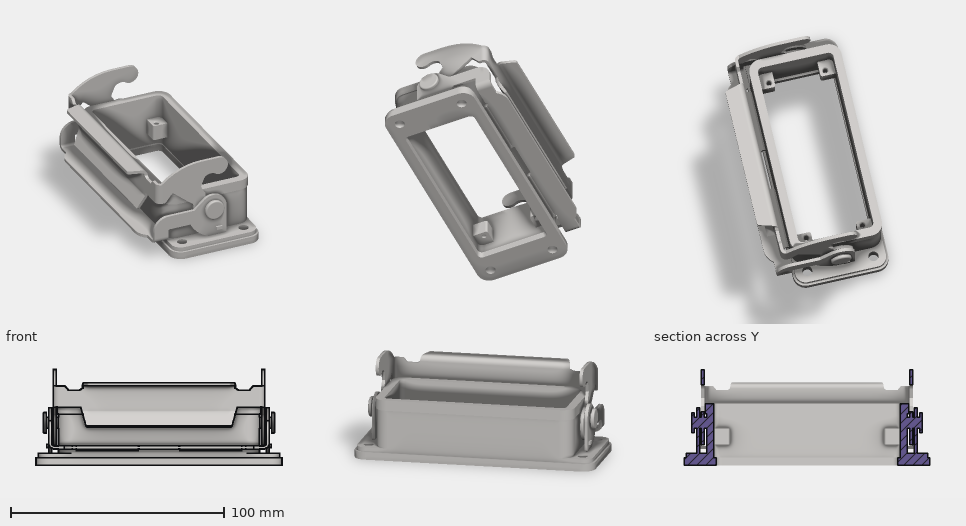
import cadquery as cq
import math

FLANGE_LENGTH = 115.5
FLANGE_WIDTH = 45.7
FLANGE_HEIGHT = 3.6
FLANGE_RADIUS = 6.0
STEP_INSET = 1.0
STEP_TOP = 5.7
BODY_LENGTH = 94.4
BODY_WIDTH = FLANGE_WIDTH - 2 * STEP_INSET
BODY_RADIUS = 5.9
COLLAR_BOTTOM = 24.0
COLLAR_TOP = 29.0
COLLAR_LENGTH = 95.5
COLLAR_WIDTH = 44.2

OPENING_LENGTH = 87.3
OPENING_WIDTH = 36.3
OPENING_RADIUS = 2.3
LEDGE_LENGTH = 85.0
LEDGE_WIDTH = 35.3
LEDGE_TOP = FLANGE_HEIGHT

BOSS_INNER_X = 36.3
BOSS_INNER_Y = 10.9
BOSS_RADIUS = 1.0
BOSS_EMBED = 0.9
BOSS_BOTTOM = 9.8
BOSS_TOP = 17.3
BOSS_HOLE_X = 38.7
BOSS_HOLE_Y = 13.5
BOSS_HOLE_DIAMETER = 2.3
BOSS_SINK_DIAMETER = 3.1
MOUNT_HOLE_X = 51.4
MOUNT_HOLE_Y = 15.9
MOUNT_HOLE_DIAMETER = 4.7

SHEET = 1.5
BEND_RADIUS = 2.8
INNER_BEND = BEND_RADIUS - SHEET

PIN_Z = 20.0
PIN_RADIUS = 2.7
PIN_HEAD_RADIUS = 4.9
PIN_HEAD_ROUND = 0.7
PIN_HEAD_INNER_X = 52.8
PIN_END_X = 54.3

BRACKET_HALF = 51.7
BRACKET_PLATE_BOTTOM = 7.6
BRACKET_PLATE_TOP = BRACKET_PLATE_BOTTOM + SHEET
BRACKET_BEND_TOP = BRACKET_PLATE_BOTTOM + BEND_RADIUS
BRACKET_EYE_RADIUS = 7.0
BRACKET_NECK_Y = -9.7
BRACKET_ARM_TOP = 20.9
BRACKET_ARM_BOTTOM = 14.0
BRACKET_HEEL_Y = -11.8
BRACKET_TOE_Y = -2.2
BRACKET_FOOT_MIDDLE = (-8.1, 9.1)
BRACKET_LEG_BACK = -23.2
BRACKET_LEG_FRONT = -30.5
BRACKET_LEG_RADIUS = BRACKET_LEG_BACK - BRACKET_LEG_FRONT
BRACKET_CORNER = 0.7
PLATE_FRONT = -33.8
PLATE_SHOULDER_X = 44.4
PLATE_STRAIGHT_X = 37.8
TAB_OUTER_X = 38.8
TAB_INNER_X = 9.8
TAB_BOTTOM = 6.9
TAB_CHAMFER = 0.8
NOTCH_DEPTH = 0.9
NOTCH_TAPER = 0.6
RELIEF_WIDTH = 1.8
RELIEF_RADIUS = 0.8
STOP_BACK, STOP_FRONT = 4.5, 1.4
STOP_BOTTOM, STOP_TOP = 8.3, 9.9
STOP_HEIGHT = 0.9

LEVER_HALF = 49.7
LEVER_FRONT = -28.0
LEVER_BACK = LEVER_FRONT + SHEET
LEVER_BOTTOM = 27.3
LEVER_SHOULDER = 37.3
LEVER_TOP = 45.0
NOSE_Y = 4.3
NOSE_RADIUS = 4.4
NOSE_END_Y = 2.8
CROWN_START_Y = -5.1
CROWN_RADIUS = 31.2
CROWN_RUNOUT = 0.5
HUB_Y, HUB_Z = -1.2, 17.3
HUB_RADIUS = 8.0
HUB_NECK_Y = -3.0
HUB_NECK_Z = 27.8
ARCH_FOOT_Y = -23.8
ARCH_FRONT = (-20.5, 31.3)
ARCH_PEAK = (-20.0, 31.5)
ARCH_BACK = (-19.4, 31.3)
ARM_END = (-10.5, 24.1)
ARM_BEND = (-9.5, 23.2)
ARM_BEND_END_Z = 22.0
HOOK_CORNER = (-5.4, 31.5)
HOOK_THROAT = (-3.6, 36.0)
HOOK_CREST = (-0.2, 37.7)
LIP_TIP_Y = -35.8
LIP_ROOT_X = 36.0
LIP_TIP_X = 33.4
LIP_BEND_Z = LEVER_SHOULDER - INNER_BEND
FLAP_ROOT_X = 36.7
FLAP_TIP_X = 34.1
FLAP_BEND_Z = 25.1
FLAP_LENGTH = 8.0
FLAP_ANGLE = math.radians(26)
PLATE_CORNER = 1.2
GAP_OUTER_X, GAP_SLOPE_X, GAP_INNER_X = 44.1, 42.4, 37.3
GAP_BOTTOM = 35.2


def block(x0, x1, y0, y1, z0, z1):
    """Box between two opposite corners."""
    return cq.Workplane("XY").box(x1 - x0, y1 - y0, z1 - z0, centered=False).translate((x0, y0, z0))


def rounded_block(length, width, radius, z0, z1):
    """Box centred on the Z axis with rounded upright edges."""
    return block(-length / 2, length / 2, -width / 2, width / 2, z0, z1).edges("|Z").fillet(radius)


def both_ends(shape):
    """The shape together with its mirror image across the YZ plane."""
    return shape.union(shape.mirror("YZ"))


def mirrored_points(x, y):
    return [(sx * x, sy * y) for sx in (-1, 1) for sy in (-1, 1)]


def make_boss(sign_x, sign_y):
    """Corner boss running from its inner edges into the housing wall."""
    wall_x = OPENING_LENGTH / 2 + BOSS_EMBED
    wall_y = OPENING_WIDTH / 2 + BOSS_EMBED
    boss = block(BOSS_INNER_X, wall_x, BOSS_INNER_Y, wall_y, BOSS_BOTTOM, BOSS_TOP)
    boss = boss.edges("|Z and <X and <Y").fillet(BOSS_RADIUS)
    if sign_x < 0:
        boss = boss.mirror("YZ")
    if sign_y < 0:
        boss = boss.mirror("XZ")
    return boss


def make_housing():
    housing = rounded_block(FLANGE_LENGTH, FLANGE_WIDTH, FLANGE_RADIUS, 0, FLANGE_HEIGHT)
    step = rounded_block(FLANGE_LENGTH - 2 * STEP_INSET, FLANGE_WIDTH - 2 * STEP_INSET,
                         FLANGE_RADIUS - STEP_INSET, FLANGE_HEIGHT, STEP_TOP)
    body = rounded_block(BODY_LENGTH, BODY_WIDTH, BODY_RADIUS, STEP_TOP, COLLAR_BOTTOM)
    collar = rounded_block(COLLAR_LENGTH, COLLAR_WIDTH, BODY_RADIUS, COLLAR_BOTTOM, COLLAR_TOP)
    housing = housing.union(step).union(body).union(collar)
    housing = housing.cut(rounded_block(LEDGE_LENGTH, LEDGE_WIDTH, OPENING_RADIUS, 0, LEDGE_TOP))
    housing = housing.cut(
        rounded_block(OPENING_LENGTH, OPENING_WIDTH, OPENING_RADIUS, LEDGE_TOP, COLLAR_TOP))
    for sign_x in (-1, 1):
        for sign_y in (-1, 1):
            housing = housing.union(make_boss(sign_x, sign_y))
    boss_holes = (cq.Workplane("XY").workplane(offset=BOSS_BOTTOM)
                  .pushPoints(mirrored_points(BOSS_HOLE_X, BOSS_HOLE_Y))
                  .circle(BOSS_HOLE_DIAMETER / 2).extrude(BOSS_TOP - BOSS_BOTTOM))
    sink_depth = (BOSS_SINK_DIAMETER - BOSS_HOLE_DIAMETER) / 2
    housing = housing.cut(boss_holes)
    for x, y in mirrored_points(BOSS_HOLE_X, BOSS_HOLE_Y):
        sink = cq.Solid.makeCone(BOSS_HOLE_DIAMETER / 2, BOSS_SINK_DIAMETER / 2, sink_depth,
                                 pnt=cq.Vector(x, y, BOSS_TOP - sink_depth))
        housing = housing.cut(cq.Workplane(sink))
    mount_holes = (cq.Workplane("XY").pushPoints(mirrored_points(MOUNT_HOLE_X, MOUNT_HOLE_Y))
                   .circle(MOUNT_HOLE_DIAMETER / 2).extrude(STEP_TOP))
    return housing.cut(mount_holes)


def make_pins():
    """Headed pins that carry the bracket and the lever on both end walls."""
    start_x = (OPENING_LENGTH + BODY_LENGTH) / 4
    shaft = (cq.Workplane("YZ", origin=(start_x, 0, PIN_Z))
             .circle(PIN_RADIUS).extrude(PIN_END_X - start_x))
    head = (cq.Workplane("YZ", origin=(PIN_HEAD_INNER_X, 0, PIN_Z))
            .circle(PIN_HEAD_RADIUS).extrude(PIN_END_X - PIN_HEAD_INNER_X)
            .faces(">X").edges().fillet(PIN_HEAD_ROUND))
    return both_ends(shaft.union(head))


def make_bracket_side():
    """Side plate: an eye around the pin, a foot on the flange and an arm to the front."""
    neck_rise = BRACKET_ARM_TOP - PIN_Z
    neck_distance = math.hypot(BRACKET_NECK_Y, neck_rise)
    tangent_angle = (math.atan2(neck_rise, BRACKET_NECK_Y)
                     - math.acos(BRACKET_EYE_RADIUS / neck_distance))
    tangent = (BRACKET_EYE_RADIUS * math.cos(tangent_angle),
               PIN_Z + BRACKET_EYE_RADIUS * math.sin(tangent_angle))
    knee_z = BRACKET_ARM_TOP - BRACKET_LEG_RADIUS
    side = (cq.Workplane("YZ", origin=(BRACKET_HALF - SHEET, 0, 0))
            .moveTo(BRACKET_EYE_RADIUS, STEP_TOP)
            .lineTo(BRACKET_EYE_RADIUS, PIN_Z)
            .threePointArc((BRACKET_EYE_RADIUS * math.cos(tangent_angle / 2),
                            PIN_Z + BRACKET_EYE_RADIUS * math.sin(tangent_angle / 2)), tangent)
            .lineTo(BRACKET_NECK_Y, BRACKET_ARM_TOP)
            .lineTo(BRACKET_LEG_BACK, BRACKET_ARM_TOP)
            .radiusArc((BRACKET_LEG_FRONT, knee_z), -BRACKET_LEG_RADIUS)
            .lineTo(BRACKET_LEG_FRONT, BRACKET_BEND_TOP)
            .lineTo(BRACKET_LEG_BACK, BRACKET_BEND_TOP)
            .lineTo(BRACKET_LEG_BACK, BRACKET_ARM_BOTTOM)
            .lineTo(BRACKET_HEEL_Y, BRACKET_ARM_BOTTOM)
            .threePointArc(BRACKET_FOOT_MIDDLE, (BRACKET_TOE_Y, STEP_TOP))
            .close().extrude(SHEET))
    side = side.edges("|X").edges(cq.selectors.NearestToPointSelector(
        (BRACKET_HALF, BRACKET_LEG_BACK, BRACKET_ARM_BOTTOM))).fillet(BRACKET_CORNER)
    side = side.edges("|X and >Y and <Z").fillet(BRACKET_CORNER)
    stop = block(BRACKET_HALF, BRACKET_HALF + STOP_HEIGHT, STOP_FRONT, STOP_BACK, STOP_BOTTOM, STOP_TOP)
    return side.union(stop)


def make_bracket_trough():
    """Bottom plate with its two upturned bends, running the depth of the legs."""
    wall_top = BRACKET_BEND_TOP + INNER_BEND
    trough = block(-BRACKET_HALF, BRACKET_HALF, BRACKET_LEG_FRONT, BRACKET_LEG_BACK,
                   BRACKET_PLATE_BOTTOM, wall_top)
    trough = trough.edges("|Y and <Z").fillet(BEND_RADIUS)
    inner_half = BRACKET_HALF - SHEET
    hollow = block(-inner_half, inner_half, BRACKET_LEG_FRONT, BRACKET_LEG_BACK,
                   BRACKET_PLATE_TOP, wall_top)
    return trough.cut(hollow.edges("|Y and <Z").fillet(INNER_BEND))


def make_bracket():
    bracket = both_ends(make_bracket_side()).union(make_bracket_trough())
    run = PLATE_SHOULDER_X - PLATE_STRAIGHT_X
    drop = BRACKET_LEG_FRONT - PLATE_FRONT
    sweep_radius = (run ** 2 + drop ** 2) / (2 * drop)
    apron = (cq.Workplane("XY").workplane(offset=BRACKET_PLATE_BOTTOM)
             .moveTo(-PLATE_SHOULDER_X, BRACKET_LEG_FRONT)
             .radiusArc((-PLATE_STRAIGHT_X, PLATE_FRONT), -sweep_radius)
             .lineTo(PLATE_STRAIGHT_X, PLATE_FRONT)
             .radiusArc((PLATE_SHOULDER_X, BRACKET_LEG_FRONT), -sweep_radius)
             .close().extrude(SHEET))
    tab = block(TAB_INNER_X, TAB_OUTER_X, BRACKET_LEG_BACK, -BODY_WIDTH / 2, TAB_BOTTOM, BRACKET_PLATE_TOP)
    tab = tab.edges("|X and >Y and >Z").chamfer(TAB_CHAMFER)
    bracket = bracket.union(apron).union(both_ends(tab))
    notch_front = BRACKET_LEG_BACK - NOTCH_DEPTH
    notch = (cq.Workplane("XY").workplane(offset=BRACKET_PLATE_BOTTOM)
             .polyline([(-TAB_INNER_X, BRACKET_LEG_BACK), (NOTCH_TAPER - TAB_INNER_X, notch_front),
                        (TAB_INNER_X - NOTCH_TAPER, notch_front), (TAB_INNER_X, BRACKET_LEG_BACK)])
             .close().extrude(SHEET))
    relief = block(TAB_OUTER_X, TAB_OUTER_X + RELIEF_WIDTH, notch_front, BRACKET_LEG_BACK,
                   BRACKET_PLATE_BOTTOM, BRACKET_PLATE_TOP)
    relief = relief.edges("|Z and <Y").fillet(RELIEF_RADIUS)
    return bracket.cut(notch).cut(both_ends(relief))


def make_lever_profile():
    """Side outline of the lever, as a bar across the whole part."""
    nose_z = LEVER_TOP - NOSE_RADIUS
    nose_end_z = nose_z - math.sqrt(NOSE_RADIUS ** 2 - (NOSE_Y - NOSE_END_Y) ** 2)
    crown_end_y = LEVER_FRONT + BEND_RADIUS
    crown_end_z = (LEVER_TOP - CROWN_RADIUS
                   + math.sqrt(CROWN_RADIUS ** 2 - (CROWN_START_Y - crown_end_y) ** 2))
    hub_top_z = HUB_Z + math.sqrt(HUB_RADIUS ** 2 - (HUB_NECK_Y - HUB_Y) ** 2)
    hub_front_y = HUB_Y - HUB_RADIUS
    return (cq.Workplane("YZ", origin=(-LEVER_HALF, 0, 0))
            .moveTo(NOSE_Y, LEVER_TOP)
            .lineTo(CROWN_START_Y, LEVER_TOP)
            .radiusArc((crown_end_y, crown_end_z), -CROWN_RADIUS)
            .lineTo(crown_end_y - CROWN_RUNOUT, LEVER_SHOULDER)
            .lineTo(LEVER_FRONT, LEVER_SHOULDER)
            .lineTo(LEVER_FRONT, LEVER_BOTTOM)
            .lineTo(ARCH_FOOT_Y, LEVER_BOTTOM)
            .lineTo(*ARCH_FRONT)
            .threePointArc(ARCH_PEAK, ARCH_BACK)
            .lineTo(*ARM_END)
            .threePointArc(ARM_BEND, (hub_front_y, ARM_BEND_END_Z))
            .lineTo(hub_front_y, HUB_Z)
            .threePointArc((HUB_Y, HUB_Z - HUB_RADIUS), (HUB_Y + HUB_RADIUS, HUB_Z))
            .radiusArc((HUB_NECK_Y, hub_top_z), -HUB_RADIUS)
            .lineTo(HUB_NECK_Y, HUB_NECK_Z)
            .lineTo(*HOOK_CORNER)
            .lineTo(*HOOK_THROAT)
            .threePointArc(HOOK_CREST, (NOSE_END_Y, nose_end_z))
            .threePointArc((NOSE_Y + NOSE_RADIUS, nose_z), (NOSE_Y, LEVER_TOP))
            .close().extrude(2 * LEVER_HALF))


def make_lever_frame():
    """U-shaped sheet: two side plates joined by the bent front plate."""
    back_end = NOSE_Y + NOSE_RADIUS
    inner_half = LEVER_HALF - SHEET
    strip = block(-LEVER_HALF, LEVER_HALF, LEVER_FRONT, back_end, 0, LEVER_TOP)
    strip = strip.edges("|Z and <Y").fillet(BEND_RADIUS)
    hollow = block(-inner_half, inner_half, LEVER_BACK, back_end, 0, LEVER_TOP)
    strip = strip.cut(hollow.edges("|Z and <Y").fillet(INNER_BEND))
    gap = (cq.Workplane("XZ", origin=(0, LEVER_BACK, 0))
           .polyline([(-GAP_OUTER_X, LEVER_SHOULDER), (-GAP_SLOPE_X, GAP_BOTTOM),
                      (-GAP_INNER_X, GAP_BOTTOM), (-LIP_ROOT_X, LIP_BEND_Z),
                      (LIP_ROOT_X, LIP_BEND_Z), (GAP_INNER_X, GAP_BOTTOM),
                      (GAP_SLOPE_X, GAP_BOTTOM), (GAP_OUTER_X, LEVER_SHOULDER)])
           .close().extrude(SHEET))
    return strip.intersect(make_lever_profile()).cut(gap)


def make_lip():
    """Finger lip bent forward from the top of the front plate."""
    bend_end_y = LEVER_FRONT - INNER_BEND
    section = (cq.Workplane("YZ", origin=(-LIP_ROOT_X, 0, 0))
               .moveTo(LEVER_BACK, LIP_BEND_Z)
               .radiusArc((bend_end_y, LIP_BEND_Z + BEND_RADIUS), -BEND_RADIUS)
               .lineTo(LIP_TIP_Y, LIP_BEND_Z + BEND_RADIUS)
               .lineTo(LIP_TIP_Y, LEVER_SHOULDER)
               .lineTo(bend_end_y, LEVER_SHOULDER)
               .radiusArc((LEVER_FRONT, LIP_BEND_Z), INNER_BEND)
               .close().extrude(2 * LIP_ROOT_X))
    outline = (cq.Workplane("XY").workplane(offset=LIP_BEND_Z)
               .polyline([(-LIP_ROOT_X, LEVER_BACK), (-LIP_TIP_X, LIP_TIP_Y),
                          (LIP_TIP_X, LIP_TIP_Y), (LIP_ROOT_X, LEVER_BACK)])
               .close().extrude(BEND_RADIUS).edges("|Z and <Y").fillet(PLATE_CORNER))
    return section.intersect(outline)


def round_bend(shape, y, z, radius):
    """Round the one edge along X that passes through the given Y and Z."""
    return shape.edges(cq.selectors.NearestToPointSelector((0, y, z))).fillet(radius)


def make_flap():
    """Tapered flap hanging from the front plate and leaning outward."""
    reach_y = -FLAP_LENGTH * math.sin(FLAP_ANGLE)
    reach_z = -FLAP_LENGTH * math.cos(FLAP_ANGLE)
    outer_bend_z = FLAP_BEND_Z + SHEET * math.tan(FLAP_ANGLE / 2)
    tip_inner = (LEVER_BACK + reach_y, FLAP_BEND_Z + reach_z)
    tip_outer = (tip_inner[0] - SHEET * math.cos(FLAP_ANGLE), tip_inner[1] + SHEET * math.sin(FLAP_ANGLE))
    section = (cq.Workplane("YZ", origin=(-FLAP_ROOT_X, 0, 0))
               .polyline([(LEVER_BACK, LEVER_BOTTOM), (LEVER_BACK, FLAP_BEND_Z), tip_inner, tip_outer,
                          (LEVER_FRONT, outer_bend_z), (LEVER_FRONT, LEVER_BOTTOM)])
               .close().extrude(2 * FLAP_ROOT_X))
    section = round_bend(section, LEVER_BACK, FLAP_BEND_Z, BEND_RADIUS)
    section = round_bend(section, LEVER_FRONT, outer_bend_z, INNER_BEND)
    outline = (cq.Workplane("XZ", origin=(0, LEVER_BACK, 0))
               .polyline([(-FLAP_ROOT_X, LEVER_BOTTOM), (-FLAP_TIP_X, tip_inner[1]),
                          (FLAP_TIP_X, tip_inner[1]), (FLAP_ROOT_X, LEVER_BOTTOM)])
               .close().extrude(FLAP_LENGTH).edges("|Y and <Z").fillet(PLATE_CORNER))
    return section.intersect(outline)


lever = make_lever_frame().union(make_lip()).union(make_flap())
result = make_housing().union(make_pins()).union(make_bracket()).union(lever)